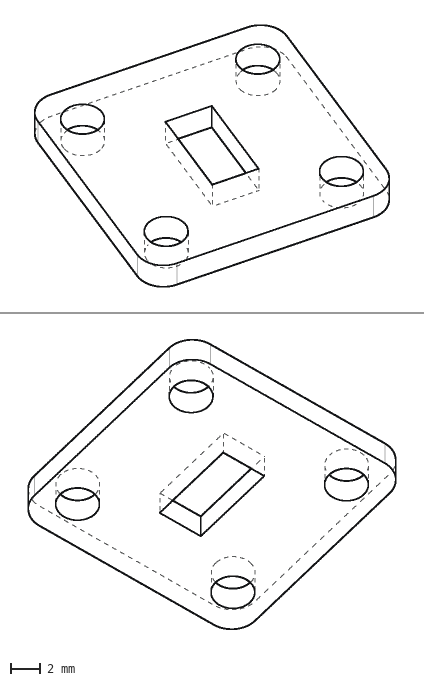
import cadquery as cq

side = 19.1
thickness = 2.0
corner_radius = 2.0

window_length = 7.1
window_width = 3.55

hole_diameter = 3.0
hole_spacing_x = 12.7
hole_spacing_y = 13.45

plate = (
    cq.Workplane("XY")
    .rect(side, side)
    .extrude(thickness)
    .edges("|Z")
    .fillet(corner_radius)
)

window = cq.Workplane("XY").rect(window_length, window_width).extrude(thickness)

screw_holes = (
    cq.Workplane("XY")
    .rect(hole_spacing_x, hole_spacing_y, forConstruction=True)
    .vertices()
    .circle(hole_diameter / 2)
    .extrude(thickness)
)

result = plate.cut(window).cut(screw_holes)